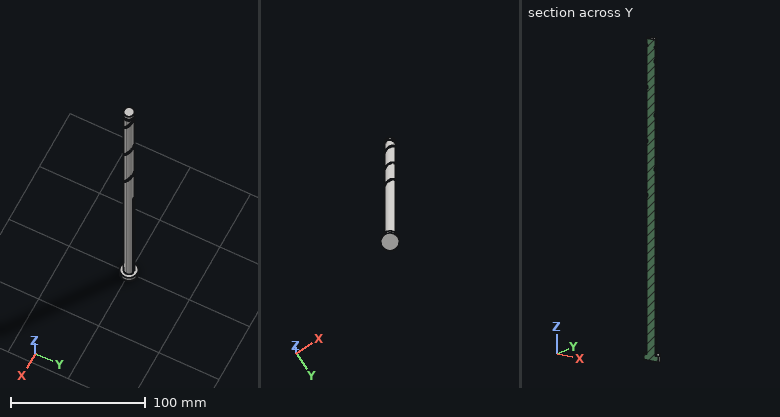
import cadquery as cq

total_length = 250.0
head_diameter = 14.0
head_height = 5.0
shaft_diameter = 8.2
shaft_radius = shaft_diameter / 2

ring_radius = 0.8
ring_height = 244.0

groove_radius = 1.0
helix_pitch = 41.8
helix_turns = 3
helix_length = helix_pitch * helix_turns
helix_start_height = 243.2
helix_end_height = helix_start_height - helix_length


def make_pin():
    """Headed pin standing on its head."""
    head = cq.Workplane("XY").circle(head_diameter / 2).extrude(head_height)
    shaft = cq.Workplane("XY").circle(shaft_radius).extrude(total_length)
    return head.union(shaft)


def make_ring_groove():
    """Half-round groove all the way around the tip."""
    return cq.Workplane(cq.Solid.makeTorus(shaft_radius, ring_radius, cq.Vector(0, 0, ring_height)))


def make_helix_groove():
    """Right-handed spiral that starts and ends on the +Y side."""
    path = cq.Wire.makeHelix(helix_pitch, helix_length, shaft_radius)
    profile = cq.Workplane("XZ").center(shaft_radius, 0).circle(groove_radius)
    spiral = profile.sweep(cq.Workplane(path), isFrenet=True)
    return spiral.rotate((0, 0, 0), (0, 0, 1), 90).translate((0, 0, helix_end_height))


def make_straight_groove():
    """Straight run on the +Y side, from the head up to the end of the spiral."""
    return (
        cq.Workplane("XY", origin=(0, shaft_radius, head_height))
        .circle(groove_radius)
        .extrude(helix_end_height - head_height)
    )


result = make_pin()
for groove in (make_ring_groove(), make_helix_groove(), make_straight_groove()):
    result = result.cut(groove)